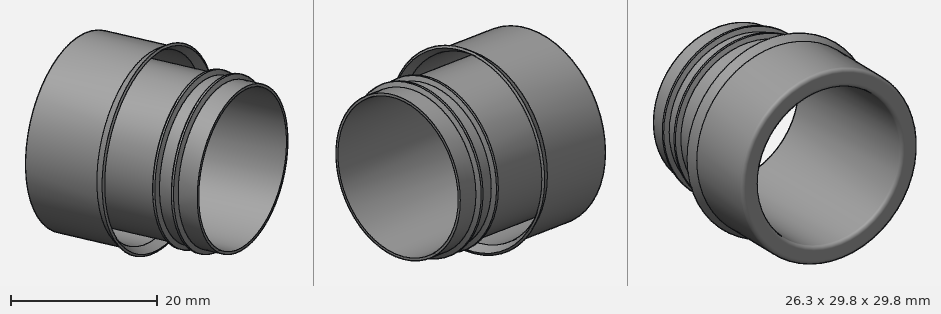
import cadquery as cq
import math

length = 26.3
bore_diameter = 23.0
tube_diameter = 23.8
skirt_diameter = 28.3
flare_diameter = 29.8
wall = (tube_diameter - bore_diameter) / 2

skirt_length = length / 2
flare_angle = math.radians(30)
fold_radius = 0.6
inner_fold_radius = fold_radius - wall

bead_height = 0.7
bead_base_width = 1.0
bead_crest_width = 0.35
bead_pitch = 2.98
last_bead_to_end = 3.55

bore_radius = bore_diameter / 2
tube_radius = tube_diameter / 2
skirt_radius = skirt_diameter / 2
skirt_inner_radius = skirt_radius - wall
flare_radius = flare_diameter / 2


def revolve_about_x(profile):
    return profile.revolve(360, (0, 0, 0), (1, 0, 0))


def make_folded_shell():
    rim_x = skirt_length - wall * math.sin(flare_angle)
    rim_inner_radius = flare_radius - wall * math.cos(flare_angle)
    bend_x = rim_x - (flare_radius - skirt_radius) / math.tan(flare_angle)
    inner_bend_x = bend_x + wall * math.tan(flare_angle / 2)

    profile = (
        cq.Workplane("XY")
        .moveTo(length, bore_radius)
        .lineTo(fold_radius, bore_radius)
        .radiusArc((0, bore_radius + fold_radius), fold_radius)
        .lineTo(0, skirt_radius - fold_radius)
        .radiusArc((fold_radius, skirt_radius), fold_radius)
        .lineTo(bend_x, skirt_radius)
        .lineTo(rim_x, flare_radius)
        .lineTo(skirt_length, rim_inner_radius)
        .lineTo(inner_bend_x, skirt_inner_radius)
        .lineTo(fold_radius, skirt_inner_radius)
        .radiusArc((wall, skirt_inner_radius - inner_fold_radius), -inner_fold_radius)
        .lineTo(wall, tube_radius + inner_fold_radius)
        .radiusArc((fold_radius, tube_radius), -inner_fold_radius)
        .lineTo(length, tube_radius)
        .close()
    )
    return revolve_about_x(profile)


def make_bead(center_x):
    crest_radius = tube_radius + bead_height
    root_radius = tube_radius - wall / 2
    half_base = bead_base_width / 2
    half_crest = bead_crest_width / 2
    profile = cq.Workplane("XY").polyline([
        (center_x - half_base, root_radius),
        (center_x - half_base, tube_radius),
        (center_x - half_crest, crest_radius),
        (center_x + half_crest, crest_radius),
        (center_x + half_base, tube_radius),
        (center_x + half_base, root_radius),
    ]).close()
    return revolve_about_x(profile)


last_bead_x = length - last_bead_to_end
result = make_folded_shell()
for bead_x in (last_bead_x - bead_pitch, last_bead_x):
    result = result.union(make_bead(bead_x))